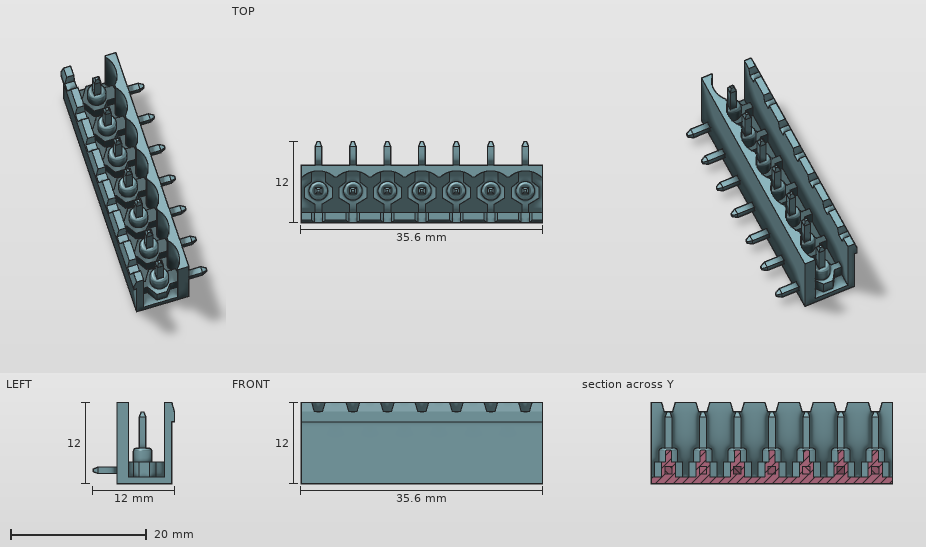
import cadquery as cq

pole_count = 7
pitch = 5.08
pole_positions = [(i - (pole_count - 1) / 2) * pitch for i in range(pole_count)]

housing_length = pole_count * pitch
housing_height = 12.0
back_face_y = 3.78
back_wall = 1.71
channel_width = 5.29
front_wall = 1.1
floor_thickness = 1.05
channel_back_y = back_face_y - back_wall
channel_front_y = channel_back_y - channel_width
front_face_y = channel_front_y - front_wall

latch_depth = 0.4
latch_bottom_z = 9.15
latch_edge_z = 10.65
latch_y = front_face_y - latch_depth

notch_top_width = 2.0
notch_bottom_width = 1.2

land_width = 0.45
recess_depth = 0.88
recess_half_width = (pitch - land_width) / 2

pedestal_top_z = 3.25
neck_half_width = 1.02
neck_end_y = 1.33
body_half_width = 2.05
body_back_y = 0.5
body_front_y = -1.03
web_half_width = 0.5
web_start_y = -2.0
boss_diameter = 2.75
boss_top_z = 5.28
boss_rounding = 0.5

pin_width = 1.0
pin_tip_width = 0.4
pin_taper_length = 0.75
pin_top_z = 10.62
tail_center_z = 2.0
tail_length = 3.5
tail_end_y = back_face_y + tail_length


def channel():
    """U-shaped section with the latch rib, extruded along the row."""
    section = (
        cq.Workplane("YZ", origin=(-housing_length / 2, 0, 0))
        .moveTo(back_face_y, 0)
        .lineTo(back_face_y, housing_height)
        .lineTo(channel_back_y, housing_height)
        .lineTo(channel_back_y, floor_thickness)
        .lineTo(channel_front_y, floor_thickness)
        .lineTo(channel_front_y, housing_height)
        .lineTo(front_face_y, housing_height)
        .lineTo(latch_y, latch_edge_z)
        .lineTo(latch_y, latch_bottom_z)
        .lineTo(front_face_y, latch_bottom_z)
        .lineTo(front_face_y, 0)
        .close()
    )
    return section.extrude(housing_length)


def back_recess(x):
    """Arched recess in the back wall, from the channel floor up."""
    return (
        cq.Workplane("XY", origin=(x, channel_back_y, floor_thickness))
        .moveTo(-recess_half_width, 0)
        .threePointArc((0, recess_depth), (recess_half_width, 0))
        .close()
        .extrude(housing_height - floor_thickness)
    )


def front_notch(x):
    """Trapezoidal cutter through the top of the front wall."""
    return (
        cq.Workplane("XZ", origin=(x, channel_front_y, 0))
        .moveTo(-notch_bottom_width / 2, latch_edge_z)
        .lineTo(notch_bottom_width / 2, latch_edge_z)
        .lineTo(notch_top_width / 2, housing_height)
        .lineTo(-notch_top_width / 2, housing_height)
        .close()
        .extrude(front_wall + latch_depth)
    )


def pedestal(x):
    """Raised block joining both walls; its back end reaches into the wall behind the recess."""
    neck_back_y = channel_back_y + recess_depth
    right_side = [
        (neck_half_width, neck_back_y),
        (neck_half_width, neck_end_y),
        (body_half_width, body_back_y),
        (body_half_width, body_front_y),
        (web_half_width, web_start_y),
        (web_half_width, channel_front_y),
    ]
    left_side = [(-px, py) for px, py in reversed(right_side)]
    return (
        cq.Workplane("XY", origin=(x, 0, floor_thickness))
        .polyline(right_side + left_side)
        .close()
        .extrude(pedestal_top_z - floor_thickness)
    )


def boss(x):
    """Round collar with a rounded top edge."""
    return (
        cq.Workplane("XY", origin=(x, 0, pedestal_top_z))
        .circle(boss_diameter / 2)
        .extrude(boss_top_z - pedestal_top_z)
        .faces(">Z")
        .edges()
        .fillet(boss_rounding)
    )


def square_bar(base, length):
    """Square bar along the normal of the base workplane, tapered at its far end."""
    straight_length = length - pin_taper_length
    shank = base.rect(pin_width, pin_width).extrude(straight_length)
    tip = (
        base.workplane(offset=straight_length)
        .rect(pin_width, pin_width)
        .workplane(offset=pin_taper_length)
        .rect(pin_tip_width, pin_tip_width)
        .loft(ruled=True)
    )
    return shank.union(tip)


def pin(x):
    """L-shaped pin: an upright contact and a tail leaving through the back wall."""
    heel_z = tail_center_z - pin_width / 2
    heel_y = -pin_width / 2
    contact = square_bar(cq.Workplane("XY", origin=(x, 0, heel_z)), pin_top_z - heel_z)
    tail_plane = cq.Plane(origin=(x, heel_y, tail_center_z), xDir=(1, 0, 0), normal=(0, 1, 0))
    tail = square_bar(cq.Workplane(tail_plane), tail_end_y - heel_y)
    return contact.union(tail)


pins = [pin(x) for x in pole_positions]

housing = channel()
for x in pole_positions:
    housing = housing.cut(back_recess(x)).cut(front_notch(x))
    housing = housing.union(pedestal(x)).union(boss(x))
for contact_pin in pins:
    housing = housing.cut(contact_pin)

result = cq.Compound.makeCompound([housing.val(), *[p.val() for p in pins]])